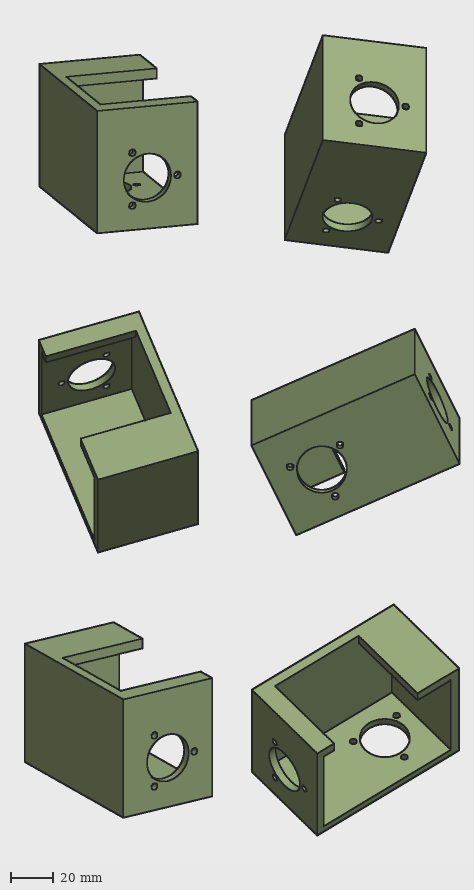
import cadquery as cq
import math

length = 85.0
depth = 50.0
height = 60.0

plain_wall = 5.0
mount_wall = 4.0

cover_width = 25.0
lip_width = 10.0

bore_diameter = 23.5
screw_diameter = 3.2
screw_circle_radius = 15.0
screw_count = 3
pattern_offset = 25.0
pattern_y = depth / 2


def box_between(low, high):
    """Axis-aligned box spanning two opposite corners."""
    sizes = [b - a for a, b in zip(low, high)]
    return cq.Workplane("XY").box(*sizes, centered=False).translate(low)


def mounting_holes(plane):
    """Bore and screw holes through a mount wall, with one screw hole toward +Y."""
    bore = cq.Workplane(plane).circle(bore_diameter / 2).extrude(mount_wall)
    angles = [i * 2 * math.pi / screw_count for i in range(screw_count)]
    centers = [
        (screw_circle_radius * math.cos(a), screw_circle_radius * math.sin(a))
        for a in angles
    ]
    screws = cq.Workplane(plane).pushPoints(centers).circle(screw_diameter / 2).extrude(mount_wall)
    return bore.union(screws)


body = box_between((0, 0, 0), (length, depth, height))

cavity = box_between(
    (plain_wall, plain_wall, mount_wall),
    (length - mount_wall, depth, height - plain_wall),
)

top_opening = box_between(
    (cover_width, plain_wall, mount_wall),
    (length - lip_width, depth, height),
)

floor_plane = cq.Plane(
    origin=(pattern_offset, pattern_y, mount_wall), xDir=(0, 1, 0), normal=(0, 0, -1)
)
right_plane = cq.Plane(
    origin=(length - mount_wall, pattern_y, pattern_offset), xDir=(0, 1, 0), normal=(1, 0, 0)
)

result = body.cut(cavity).cut(top_opening)
for mount_plane in (floor_plane, right_plane):
    result = result.cut(mounting_holes(mount_plane))